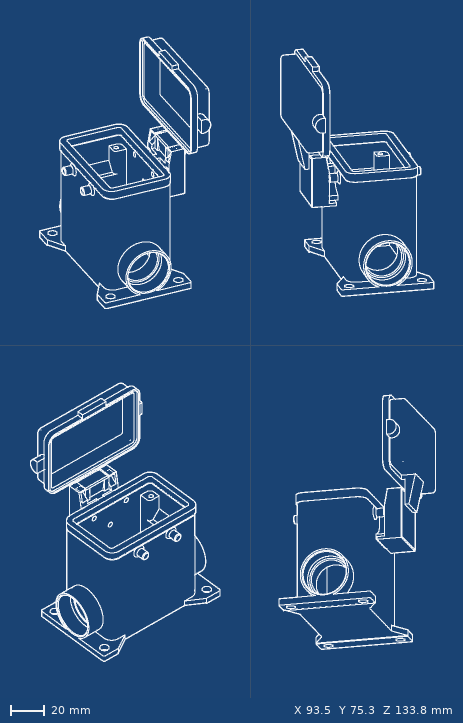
import cadquery as cq

body_half_x = 35.3
body_half_y = 21.8
body_corner = 6.0
wall = 3.2
top_z = 73.2
rim_height = 5.5
rim_step = 0.1
rim_lip = 0.7
rim_z = top_z - rim_height
bottom_z = 0.5
cavity_half_x = body_half_x - wall
cavity_half_y = body_half_y - wall
rim_half_x = body_half_x + rim_step
rim_back_y = body_half_y + rim_step
rim_undercut = 0.7
rim_cavity_half_x = cavity_half_x - rim_undercut
rim_cavity_half_y = cavity_half_y - rim_undercut
cavity_corner = 3.0
rim_cavity_corner = 1.7

half_length = 46.75
foot_top = 4.1
foot_half_y = 28.6
foot_taper_start_x = 35.2
foot_tip_x = 22.5
foot_tip_y = 21.0
foot_corner = 1.1
foot_hole_x = 40.9
foot_hole_y = 22.5
foot_hole_diameter = 5.6

entry_z = 18.0
entry_radius = 15.0
entry_socket_radius = 13.4
entry_socket_depth = 10.2
entry_seat_radius = 12.6
entry_seat_length = 1.9
entry_mouth_chamfer = 0.5
entry_bore_radius = 11.5

post_size = 7.9
post_top = 61.4
post_corner = 1.7
post_hole_diameter = 2.7
post_hole_inset_x = 3.7
post_hole_inset_y = 4.8
post_hole_depth = 10.7
block_top = 45.6
ramp_run = 4.8
ramp_rise = 5.8

pin_x = 12.8
pin_z = 63.7
pin_diameter = 5.2
pin_tip_y = 28.4
pin_tip_chamfer = 0.5
pin_base_radius = 4.0
pin_base_height = 1.3
pin_hole_diameter = 3.2
pin_hole_depth = wall

bracket_half_x = 14.91
bracket_back_y = 39.3
bracket_top_y = 30.1
bracket_front_y = 28.4
bracket_bottom_z = 46.4
bracket_top_z = 77.7
bracket_slant_z = 68.1
bracket_back_chamfer = 0.5
bracket_foot_y = 23.8
bracket_foot_top = 48.2
saddle_half_x = 9.4
saddle_z = 76.6
saddle_front_y = 30.5
saddle_bevel_run = 1.2
saddle_bevel_drop = 0.4
boss_top_z = 67.3
face_recess_half_x = 5.8
face_recess_depth = 1.3
pocket_wall = 1.5
pocket_top_z = 77.0
pocket_back_y = 34.8
pocket_back_z = 75.2
pocket_front_z = 69.5

rib_half_x = 2.5
rib_fillet_top_z = 59.3
rib_fillet_middle = (3.5, 55.9)
rib_fillet_end = (5.5, 53.6)
boss_half_x = 10.0
boss_shoulder_z = 51.2
boss_screw_z = 51.8

lid_z = 107.74
lid_half_x = 34.4
lid_height = 40.9
lid_corner = 3.6
lid_back_y = 46.7
lid_back_fillet = 1.9
lid_floor = 1.9
lid_rim_half_x = 36.45
lid_rim_height = 46.3
lid_rim_corner = 6.0
lid_rim_front_y = 33.2
lid_rim_back_y = 37.3
lid_rim_edge = 1.1
lid_step_depth = 1.3
lid_recess_inset = 3.6
lid_recess_corner = 1.3
tab_half_x = 9.4
tab_top_z = 133.8
ear_half_x = 42.0
ear_radius = 4.7
ear_axis_y = 38.8
tongue_half_x = 8.8
tongue_bottom_z = 68.9
tongue_root_z = 89.0
tongue_root_y = 45.9
tongue_tip_y = 41.9
tongue_front_y = 39.3


def block(x0, x1, y0, y1, z0, z1):
    """A box between two opposite corners."""
    return cq.Workplane("XY").box(x1 - x0, y1 - y0, z1 - z0, centered=False).translate((x0, y0, z0))


def upright_prism(half_x, y0, y1, z0, z1, corner):
    """A box with rounded vertical edges."""
    return block(-half_x, half_x, y0, y1, z0, z1).edges("|Z").fillet(corner)


def lid_prism(half_x, height, y0, y1, corner):
    """A box centred on the lid with its edges along Y rounded."""
    half_z = height / 2
    prism = block(-half_x, half_x, y0, y1, lid_z - half_z, lid_z + half_z)
    return prism.edges("|Y").fillet(corner)


def side_profile(points, half_x):
    """An outline in Y and Z, extruded to both sides of the middle plane."""
    return cq.Workplane("YZ").polyline(points).close().extrude(half_x, both=True)


def rod_x(radius, x0, x1, y, z):
    return cq.Workplane("YZ", origin=(x0, 0, 0)).center(y, z).circle(radius).extrude(x1 - x0)


def both_ends(shape):
    """The shape together with its mirror image across the YZ plane."""
    return shape.union(shape.mirror("YZ"))


def make_foot():
    outline = [
        (foot_tip_x, foot_tip_y),
        (foot_taper_start_x, foot_half_y),
        (half_length, foot_half_y),
        (half_length, -foot_half_y),
        (foot_taper_start_x, -foot_half_y),
        (foot_tip_x, -foot_tip_y),
    ]
    foot = cq.Workplane("XY").polyline(outline).close().extrude(foot_top)
    foot = foot.edges("|Z and >X").fillet(foot_corner)
    holes = [(foot_hole_x, foot_hole_y), (foot_hole_x, -foot_hole_y)]
    foot = foot.cut(cq.Workplane("XY").pushPoints(holes).circle(foot_hole_diameter / 2).extrude(foot_top))
    relief = block(0, foot_taper_start_x, -foot_half_y, foot_half_y, 0, bottom_z)
    return foot.cut(relief)


def make_shell():
    body = upright_prism(body_half_x, -body_half_y, body_half_y, bottom_z, top_z, body_corner)
    rim = upright_prism(rim_half_x, -body_half_y - rim_lip, rim_back_y, rim_z, top_z, body_corner)
    entries = rod_x(entry_radius, -half_length, half_length, 0, entry_z)
    return body.union(rim).union(entries).union(both_ends(make_foot()))


def make_cavity():
    """The hollow of the housing, leaving the posts and end blocks standing."""
    lower = upright_prism(cavity_half_x, -cavity_half_y, cavity_half_y, foot_top, rim_z, cavity_corner)
    upper = upright_prism(
        rim_cavity_half_x, -rim_cavity_half_y, rim_cavity_half_y, rim_z, top_z, rim_cavity_corner
    )
    cavity = lower.union(upper)

    inner_x = cavity_half_x - post_size
    inner_y = cavity_half_y - post_size
    end_block = (
        cq.Workplane("XZ")
        .moveTo(inner_x, foot_top)
        .lineTo(body_half_x, foot_top)
        .lineTo(body_half_x, block_top + ramp_rise)
        .lineTo(cavity_half_x, block_top + ramp_rise)
        .lineTo(cavity_half_x - ramp_run, block_top)
        .lineTo(inner_x, block_top)
        .close()
        .extrude(body_half_y, both=True)
    )
    standing = end_block
    for y0, y1 in ((-body_half_y, -inner_y), (inner_y, body_half_y)):
        post = block(inner_x, body_half_x, y0, y1, block_top, post_top)
        inner_edge = "<Y" if y0 > 0 else ">Y"
        standing = standing.union(post.edges("|Z and <X").edges(inner_edge).fillet(post_corner))
    return cavity.cut(both_ends(standing))


def make_post_holes():
    hole_x = cavity_half_x - post_hole_inset_x
    hole_y = cavity_half_y - post_hole_inset_y
    centers = [(hole_x, hole_y), (hole_x, -hole_y)]
    holes = (
        cq.Workplane("XY", origin=(0, 0, post_top))
        .pushPoints(centers)
        .circle(post_hole_diameter / 2)
        .extrude(-post_hole_depth)
    )
    return both_ends(holes)


def make_entry_bores():
    """Through bore with a wider socket at each end; the sockets taper to a flat seat."""
    bore = rod_x(entry_bore_radius, -half_length, half_length, 0, entry_z)
    socket_x = half_length - entry_socket_depth
    seat_x = socket_x - entry_seat_length
    half_profile = [
        (seat_x, 0),
        (seat_x, entry_seat_radius),
        (socket_x, entry_socket_radius),
        (half_length - entry_mouth_chamfer, entry_socket_radius),
        (half_length, entry_socket_radius + entry_mouth_chamfer),
        (half_length, 0),
    ]
    socket = cq.Workplane("XZ").polyline(half_profile).close().revolve(360, (0, 0), (1, 0))
    return bore.union(both_ends(socket.translate((0, 0, entry_z))))


def make_pins():
    """Four pins, two on each long side, each with a conical base."""
    pin_radius = pin_diameter / 2
    half_profile = [
        (0, cavity_half_y),
        (pin_base_radius, cavity_half_y),
        (pin_base_radius, body_half_y),
        (pin_radius, body_half_y + pin_base_height),
        (pin_radius, pin_tip_y - pin_tip_chamfer),
        (pin_radius - pin_tip_chamfer, pin_tip_y),
        (0, pin_tip_y),
    ]
    pin = cq.Workplane("XY").polyline(half_profile).close().revolve(360, (0, 0), (0, 1))
    pin = both_ends(pin.translate((pin_x, 0, pin_z)))
    return pin.union(pin.mirror("XZ"))


def make_wall_holes():
    """Blind holes in the inner side of the +Y wall, behind the pins and the boss."""
    centers = [(-pin_x, pin_z), (pin_x, pin_z), (0, boss_screw_z)]
    return (
        cq.Workplane("XZ", origin=(0, cavity_half_y, 0))
        .pushPoints(centers)
        .circle(pin_hole_diameter / 2)
        .extrude(-pin_hole_depth)
    )


def make_bracket():
    profile = [
        (bracket_back_y, bracket_bottom_z),
        (bracket_back_y, bracket_top_z),
        (bracket_top_y, bracket_top_z),
        (bracket_front_y, bracket_slant_z),
        (bracket_front_y, bracket_foot_top),
        (bracket_foot_y, bracket_foot_top),
        (bracket_foot_y, bracket_bottom_z),
    ]
    bracket = side_profile(profile, bracket_half_x)
    bracket = bracket.faces(">Y").edges().chamfer(bracket_back_chamfer)

    saddle_profile = [
        (bracket_back_y, bracket_top_z),
        (bracket_back_y, saddle_z),
        (saddle_front_y + saddle_bevel_run, saddle_z),
        (saddle_front_y, saddle_z - saddle_bevel_drop),
        (saddle_front_y, boss_top_z),
        (bracket_foot_y, boss_top_z),
        (bracket_foot_y, bracket_top_z),
    ]
    saddle = side_profile(saddle_profile, saddle_half_x)
    face_recess_profile = [
        (saddle_front_y, saddle_z - saddle_bevel_drop),
        (saddle_front_y + face_recess_depth, boss_top_z),
        (saddle_front_y, boss_top_z),
    ]
    face_recess = side_profile(face_recess_profile, face_recess_half_x)

    pocket_profile = [
        (bracket_foot_y, pocket_top_z),
        (pocket_back_y, pocket_top_z),
        (pocket_back_y, pocket_back_z),
        (bracket_front_y, pocket_front_z),
        (bracket_foot_y, pocket_front_z),
    ]
    pocket_outer_x = bracket_half_x - pocket_wall
    pockets = side_profile(pocket_profile, pocket_outer_x).cut(side_profile(pocket_profile, saddle_half_x))
    return bracket.cut(saddle).cut(face_recess).cut(pockets)


def make_boss():
    """A central rib that flares out into a wide foot."""
    half = (
        cq.Workplane("XZ", origin=(0, bracket_front_y, 0))
        .moveTo(0, boss_top_z)
        .lineTo(rib_half_x, boss_top_z)
        .lineTo(rib_half_x, rib_fillet_top_z)
        .threePointArc(rib_fillet_middle, rib_fillet_end)
        .lineTo(boss_half_x, boss_shoulder_z)
        .lineTo(boss_half_x, bracket_foot_top)
        .lineTo(0, bracket_foot_top)
        .close()
        .extrude(bracket_front_y - body_half_y)
    )
    return both_ends(half)


def make_lid():
    pan = lid_prism(lid_half_x, lid_height, lid_rim_front_y, lid_back_y, lid_corner)
    pan = pan.faces(">Y").edges().fillet(lid_back_fillet)
    rim = lid_prism(lid_rim_half_x, lid_rim_height, lid_rim_front_y, lid_rim_back_y, lid_rim_corner)
    tab = block(-tab_half_x, tab_half_x, lid_rim_front_y, lid_rim_back_y, lid_z, tab_top_z)
    ears = rod_x(ear_radius, -ear_half_x, ear_half_x, ear_axis_y, lid_z)
    ears = ears.intersect(
        block(-ear_half_x, ear_half_x, lid_rim_back_y, lid_back_y, lid_z - ear_radius, lid_z + ear_radius)
    )
    tongue_profile = [
        (tongue_root_y, tongue_root_z),
        (tongue_root_y, lid_z - lid_height / 2),
        (tongue_tip_y, tongue_bottom_z),
        (tongue_front_y, tongue_bottom_z),
        (tongue_front_y, lid_z - lid_rim_height / 2),
        (lid_rim_back_y, lid_z - lid_rim_height / 2),
        (lid_rim_back_y, tongue_root_z),
    ]
    lid = pan.union(rim).union(tab).union(ears).union(side_profile(tongue_profile, tongue_half_x))

    step = lid_prism(
        lid_rim_half_x - lid_rim_edge,
        lid_rim_height - 2 * lid_rim_edge,
        lid_rim_front_y,
        lid_rim_front_y + lid_step_depth,
        lid_rim_corner - lid_rim_edge,
    )
    recess = lid_prism(
        lid_rim_half_x - lid_recess_inset,
        lid_rim_height - 2 * lid_recess_inset,
        lid_rim_front_y,
        lid_back_y - lid_floor,
        lid_recess_corner,
    )
    return lid.cut(step).cut(recess)


housing = make_shell().cut(make_cavity()).cut(make_entry_bores()).cut(make_post_holes())
housing = housing.union(make_pins()).union(make_boss()).cut(make_wall_holes())
result = housing.union(make_bracket()).union(make_lid())